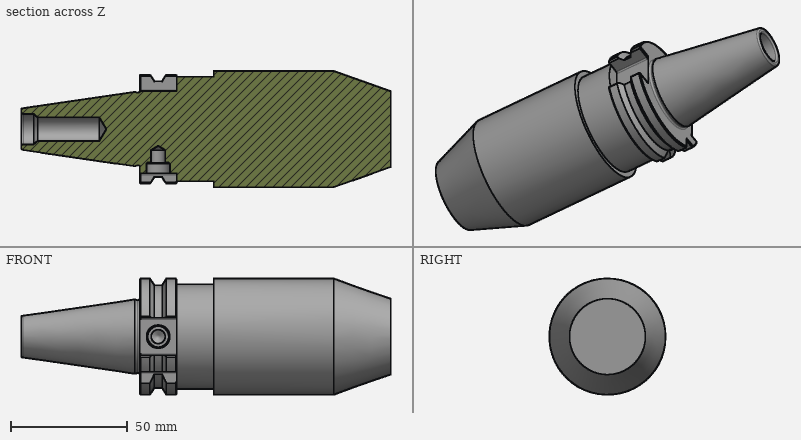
import cadquery as cq
import math


total_length = 158.65
taper_length = 47.65
small_end_x = -taper_length
nose_x = small_end_x + total_length

gauge_diameter = 31.75
taper_slope = 7 / 24 / 2
taper_end_x = 1.2
relief_start_x = 2.2
relief_flank_angle = 20.0
small_end_rounding = 0.8

flange_start_x = 3.2
flange_end_x = 19.1
flange_radius = 25.0
flange_length = flange_end_x - flange_start_x
flange_edge_chamfer = 0.5
groove_x = (flange_start_x + flange_end_x) / 2
groove_radius = 22.1
groove_floor_width = 3.3
groove_flank_angle = 33.0

neck_radius = 22.5
body_start_x = 35.0
body_radius = 25.0
nose_cone_length = 24.5
nose_radius = 16.3

slot_width = 16.1
shallow_slot_floor = 19.0
deep_slot_floor = 16.4
slot_floor_fillet = 0.6
rim_clearance = 1.0
slot_mouth_chamfer = 0.7
slot_entry_width = 0.8
slot_entry_length = 0.4

notch_offset = 15.1
notch_chamfer = 0.5
notch_corner_fillet = 0.4

stud_bore_diameter = 13.0
stud_bore_depth = 5.3
stud_thread_diameter = 10.11
stud_seat_angle = 80.0
stud_thread_depth = 33.5

side_bore_diameter = 10.0
side_bore_depth = 4.6
side_bore_floor_diameter = 9.0
side_drill_diameter = 6.0
side_drill_depth = 10.0

drill_point_angle = 118.0


def cone_height(radius, included_angle):
    """Height of a cone of the given base radius and included angle."""
    return radius / math.tan(math.radians(included_angle / 2))


def taper_radius(x):
    """Radius of the steep taper at position x."""
    return gauge_diameter / 2 + taper_slope * x


def revolve_about_x(points):
    """Solid of revolution from a closed half profile of (x, radius) points."""
    return cq.Workplane("XY").polyline(points).close().revolve(360, (0, 0, 0), (1, 0, 0))


def turned_body():
    """Taper, gripper flange, neck, body and nose cone as one turned profile."""
    half_floor = groove_floor_width / 2
    flank = (flange_radius - groove_radius) * math.tan(math.radians(groove_flank_angle))
    edge = flange_edge_chamfer
    fall = math.radians(relief_flank_angle)
    relief_start_radius = taper_radius(taper_end_x) - (relief_start_x - taper_end_x) * math.tan(fall)
    relief_arc_radius = (flange_start_x - relief_start_x) / (1 + math.sin(fall))
    arc_centre_x = flange_start_x - relief_arc_radius
    arc_centre_radius = relief_start_radius + relief_arc_radius * math.cos(fall)
    arc_middle = (math.pi / 2 - fall) / 2
    profile = (
        cq.Workplane("XY")
        .moveTo(small_end_x, 0)
        .lineTo(small_end_x, taper_radius(small_end_x))
        .lineTo(taper_end_x, taper_radius(taper_end_x))
        .lineTo(relief_start_x, relief_start_radius)
        .threePointArc(
            (
                arc_centre_x + relief_arc_radius * math.sin(arc_middle),
                arc_centre_radius - relief_arc_radius * math.cos(arc_middle),
            ),
            (flange_start_x, arc_centre_radius),
        )
        .lineTo(flange_start_x, flange_radius - edge)
        .lineTo(flange_start_x + edge, flange_radius)
        .lineTo(groove_x - half_floor - flank, flange_radius)
        .lineTo(groove_x - half_floor, groove_radius)
        .lineTo(groove_x + half_floor, groove_radius)
        .lineTo(groove_x + half_floor + flank, flange_radius)
        .lineTo(flange_end_x - edge, flange_radius)
        .lineTo(flange_end_x, flange_radius - edge)
        .lineTo(flange_end_x, neck_radius)
        .lineTo(body_start_x, neck_radius)
        .lineTo(body_start_x, body_radius)
        .lineTo(nose_x - nose_cone_length, body_radius)
        .lineTo(nose_x, nose_radius)
        .lineTo(nose_x, 0)
        .close()
    )
    return profile.revolve(360, (0, 0, 0), (1, 0, 0))


def driving_slot(floor, side):
    """Cutter for a slot on the side = +1 (+Y) or -1 (-Y), floor at the given distance from the axis."""
    depth = flange_radius + rim_clearance - floor
    slot = (
        cq.Workplane("XY")
        .box(flange_length, depth, slot_width, centered=(False, False, True))
        .edges("|X and <Y").fillet(slot_floor_fillet)
    )
    entry = (
        cq.Workplane("YZ")
        .center(depth / 2, 0).rect(depth, slot_width + 2 * slot_entry_width)
        .workplane(offset=slot_entry_length).rect(depth, slot_width)
        .loft(ruled=True)
    )
    half = slot_width / 2
    rim = math.sqrt(flange_radius**2 - (half + slot_mouth_chamfer) ** 2) - floor
    mouth = (
        cq.Workplane("YZ")
        .polyline([
            (rim - slot_mouth_chamfer, -half),
            (rim, -half - slot_mouth_chamfer),
            (depth, -half - slot_mouth_chamfer),
            (depth, half + slot_mouth_chamfer),
            (rim, half + slot_mouth_chamfer),
            (rim - slot_mouth_chamfer, half),
        ])
        .close().extrude(flange_length)
    )
    cutter = slot.union(entry).union(mouth).translate((flange_start_x, floor, 0))
    return cutter if side > 0 else cutter.mirror("XZ")


def orientation_notch():
    """Square corner cut through the flange rim, chamfered at the flange's end face."""
    size = flange_radius - notch_offset
    wide = size + notch_chamfer
    notch = cq.Workplane("XY").box(flange_length, size, size, centered=False)
    notch = notch.edges("|X and >Y and >Z").fillet(notch_corner_fillet)
    entry = (
        cq.Workplane("YZ")
        .center(wide / 2, wide / 2).rect(wide, wide)
        .workplane(offset=notch_chamfer).center(-notch_chamfer / 2, -notch_chamfer / 2).rect(size, size)
        .loft(ruled=True)
    )
    return notch.union(entry).translate((flange_start_x, -flange_radius, -flange_radius))


def pull_stud_bore():
    """Counterbore, conical seat and blind thread hole, along the axis."""
    bore_radius = stud_bore_diameter / 2
    thread_radius = stud_thread_diameter / 2
    seat_x = small_end_x + stud_bore_depth
    thread_end_x = small_end_x + stud_thread_depth
    return revolve_about_x([
        (small_end_x, 0),
        (small_end_x, bore_radius),
        (seat_x, bore_radius),
        (seat_x + cone_height(bore_radius - thread_radius, stud_seat_angle), thread_radius),
        (thread_end_x, thread_radius),
        (thread_end_x + cone_height(thread_radius, drill_point_angle), 0),
    ])


def side_hole():
    """Stepped blind hole in the shallow slot's floor, centred on the groove."""
    bore_radius = side_bore_diameter / 2
    floor_radius = side_bore_floor_diameter / 2
    drill_radius = side_drill_diameter / 2
    bevel_height = bore_radius - floor_radius
    bore_y = -shallow_slot_floor + side_bore_depth
    drill_y = -shallow_slot_floor + side_drill_depth
    profile = [
        (0, -shallow_slot_floor),
        (bore_radius, -shallow_slot_floor),
        (bore_radius, bore_y - bevel_height),
        (floor_radius, bore_y),
        (drill_radius, bore_y),
        (drill_radius, drill_y),
        (0, drill_y + cone_height(drill_radius, drill_point_angle)),
    ]
    hole = cq.Workplane("XY").polyline(profile).close().revolve(360, (0, 0, 0), (0, 1, 0))
    return hole.translate((groove_x, 0, 0))


result = (
    turned_body()
    .cut(pull_stud_bore())
    .faces("<X").edges().fillet(small_end_rounding)
    .cut(driving_slot(shallow_slot_floor, -1))
    .cut(driving_slot(deep_slot_floor, 1))
    .cut(orientation_notch())
    .cut(side_hole())
)